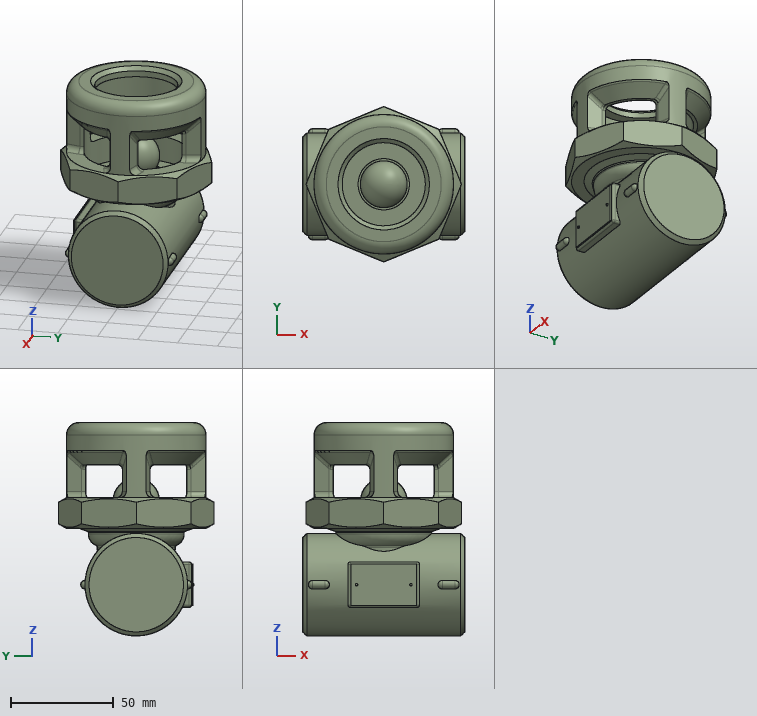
import cadquery as cq
import math

barrel_length = 79.0
barrel_radius = 25.0
barrel_chamfer = 2.0

neck_radius = 19.0
neck_round = 1.0
collar_radius = 46.73 / 2
collar_round = 6.0
collar_top = 25.4
collar_edge_height = 0.7
collar_bottom = collar_top - collar_edge_height - collar_round

stem_radius = 12.5
stem_top = 32.4
ball_radius = 11.45
ball_center = 40.5
step_radius = 21.41 / 2
step_height = 0.9
step_top = stem_top + step_height
seat_radius = 7.0
seat_bottom = ball_center - math.sqrt(ball_radius**2 - seat_radius**2)

plate_width = 34.8
plate_height = 22.2
plate_face = 26.9
plate_round = 1.2
panel_width = 31.8
panel_height = 20.2
panel_thickness = 0.7
panel_face = plate_face + panel_thickness
rivet_radius = 0.6
rivet_offset = 13.25

lug_radius = 2.05
lug_length = 10.3
lug_offset = 31.6

octagon_across_flats = 70.0
octagon_bottom = 27.4
octagon_thickness = 15.0
octagon_top = octagon_bottom + octagon_thickness
octagon_face_radius = 34.0
octagon_chamfer_angle = 30.0
under_cone_radius = 55.73 / 2
under_cone_tip_radius = 23.9
under_cone_tip = 26.0

cage_radius = 34.0
cage_top = 79.0
cage_round = 6.0
cavity_radius = 25.5
cavity_floor = 29.5
cavity_roof = 74.0
bore_radius = 40.5 / 2
bore_chamfer = 2.0

window_roof_inner = 58.4
window_floor_round = 3.0
window_corner_round = 2.2
window_lip_round = 2.0
window_lip_angle = 75.0
post_inner_half_width = 6.8
post_outer_half_width = 4.85
post_taper_start = 26.6
window_roof_radius = math.hypot(post_taper_start, post_inner_half_width)
post_taper_end = math.sqrt(cage_radius**2 - post_outer_half_width**2)

clearance = 5.0
window_overrun = 3.0
tolerance = 0.01


def disc(radius, bottom, top):
    return cq.Workplane("XY").workplane(offset=bottom).circle(radius).extrude(top - bottom)


def make_barrel():
    barrel = cq.Workplane("YZ").circle(barrel_radius).extrude(barrel_length)
    barrel = barrel.translate((-barrel_length / 2, 0, 0))
    return barrel.faces("<X or >X").chamfer(barrel_chamfer)


def make_collar():
    collar = disc(collar_radius, collar_bottom, collar_top).faces("<Z").edges().fillet(collar_round)
    collar = collar.union(disc(neck_radius, 0, collar_top))
    neck_joint = [
        edge
        for edge in collar.edges("%CIRCLE").vals()
        if abs(edge.radius() - neck_radius) < tolerance and edge.Center().z > tolerance
    ]
    return collar.newObject(neck_joint).fillet(neck_round)


def make_ball_stem():
    stem = (
        cq.Workplane("XZ")
        .lineTo(stem_radius, 0)
        .lineTo(stem_radius, stem_top)
        .lineTo(step_radius, stem_top)
        .lineTo(step_radius, step_top)
        .lineTo(seat_radius, seat_bottom)
        .lineTo(0, seat_bottom)
        .close()
        .revolve()
    )
    ball = cq.Workplane("XY").workplane(offset=ball_center).sphere(ball_radius)
    return stem.union(ball)


def make_name_plate():
    plate = cq.Workplane("XY").box(plate_width, plate_face, plate_height)
    plate = plate.translate((0, -plate_face / 2, 0))
    plate = plate.edges("|Y or <Y").fillet(plate_round)
    panel = cq.Workplane("XY").box(panel_width, panel_face, panel_height)
    plate = plate.union(panel.translate((0, -panel_face / 2, 0)))
    for side in (-1, 1):
        rivet = cq.Workplane("XY").sphere(rivet_radius)
        plate = plate.union(rivet.translate((side * rivet_offset, -panel_face, 0)))
    return plate


def make_lug(x_side, y_side):
    straight_length = lug_length - 2 * lug_radius
    lug = cq.Workplane("YZ").circle(lug_radius).extrude(straight_length / 2, both=True)
    for end in (-1, 1):
        cap = cq.Workplane("XY").sphere(lug_radius)
        lug = lug.union(cap.translate((end * straight_length / 2, 0, 0)))
    return lug.translate((x_side * lug_offset, y_side * barrel_radius, 0))


def make_body():
    body = make_barrel().union(make_collar()).union(make_ball_stem()).union(make_name_plate())
    for x_side in (-1, 1):
        for y_side in (-1, 1):
            body = body.union(make_lug(x_side, y_side))
    return body


def make_flange():
    corner_radius = octagon_across_flats / 2 / math.cos(math.pi / 8)
    octagon = cq.Workplane("XY").workplane(offset=octagon_bottom)
    octagon = octagon.polygon(8, 2 * corner_radius).extrude(octagon_thickness)
    cone_reach = corner_radius + clearance
    cone_drop = (cone_reach - octagon_face_radius) * math.tan(math.radians(octagon_chamfer_angle))
    bevel = (
        cq.Workplane("XZ")
        .moveTo(0, octagon_bottom)
        .lineTo(octagon_face_radius, octagon_bottom)
        .lineTo(cone_reach, octagon_bottom + cone_drop)
        .lineTo(cone_reach, octagon_top - cone_drop)
        .lineTo(octagon_face_radius, octagon_top)
        .lineTo(0, octagon_top)
        .close()
        .revolve()
    )
    underside = (
        cq.Workplane("XZ")
        .moveTo(0, octagon_bottom)
        .lineTo(under_cone_radius, octagon_bottom)
        .lineTo(under_cone_tip_radius, under_cone_tip)
        .lineTo(collar_radius, collar_top)
        .lineTo(0, collar_top)
        .close()
        .revolve()
    )
    return octagon.intersect(bevel).union(underside)


def make_posts():
    """Cross of two bars whose arms narrow toward the outside; the windows lie between the arms."""
    reach = cage_radius + 2 * clearance
    taper = (post_inner_half_width - post_outer_half_width) / (post_taper_end - post_taper_start)
    reach_half_width = post_inner_half_width - taper * (reach - post_taper_start)
    arm = (
        cq.Workplane("XY")
        .workplane(offset=octagon_top - clearance)
        .moveTo(0, -post_inner_half_width)
        .lineTo(post_taper_start, -post_inner_half_width)
        .lineTo(reach, -reach_half_width)
        .lineTo(reach, reach_half_width)
        .lineTo(post_taper_start, post_inner_half_width)
        .lineTo(0, post_inner_half_width)
        .close()
        .extrude(cage_top - octagon_top + clearance)
    )
    posts = arm
    for quarter in range(1, 4):
        posts = posts.union(arm.rotate((0, 0, 0), (0, 0, 1), 90 * quarter))
    return posts


def make_window():
    """Cutting shape of the window in the +X +Y quadrant."""
    inner = cavity_radius - clearance
    lip_angle = math.radians(window_lip_angle)
    roof_angle = math.radians(45)
    mid_angle = (lip_angle + roof_angle) / 2
    lip_center_x = cage_radius - window_lip_round * math.sin(lip_angle)
    roof_end = lip_center_x + window_lip_round * math.sin(roof_angle)
    roof_end_z = window_roof_inner + roof_end - window_roof_radius
    lip_center_z = roof_end_z + window_lip_round * math.cos(roof_angle)

    def lip_point(angle):
        x = lip_center_x + window_lip_round * math.sin(angle)
        return x, lip_center_z - window_lip_round * math.cos(angle)

    outer = cage_radius + window_overrun
    lip_end_z = lip_point(lip_angle)[1] + window_overrun * math.tan(lip_angle)
    ring = (
        cq.Workplane("XZ")
        .moveTo(inner, octagon_top)
        .lineTo(outer, octagon_top)
        .lineTo(outer, lip_end_z)
        .lineTo(*lip_point(lip_angle))
        .threePointArc(lip_point(mid_angle), lip_point(roof_angle))
        .lineTo(window_roof_radius, window_roof_inner)
        .lineTo(inner, window_roof_inner)
        .close()
        .revolve()
    )
    quadrant = cq.Workplane("XY").box(outer, outer, 2 * cage_top, centered=(False, False, True))
    return round_window(ring.intersect(quadrant).cut(make_posts()))


def round_window(window):
    """Rounds the corners where the posts meet the window floor and the window roof."""

    def along_post(edge):
        center = edge.Center()
        return edge.geomType() != "CIRCLE" and min(center.x, center.y) < post_inner_half_width + tolerance

    def inside_reach(edge):
        center = edge.Center()
        return math.hypot(center.x, center.y) < cage_radius + window_overrun - tolerance

    post_edges = [edge for edge in window.edges().vals() if along_post(edge)]
    floor_edges = [edge for edge in post_edges if abs(edge.Center().z - octagon_top) < tolerance]
    window = window.newObject(floor_edges).fillet(window_floor_round)
    post_edges = [edge for edge in window.edges().vals() if along_post(edge) and inside_reach(edge)]
    roof_edges = [edge for edge in post_edges if edge.Center().z > window_roof_inner - tolerance]
    return window.newObject(roof_edges).fillet(window_corner_round)


def make_cage():
    cage = disc(cage_radius, octagon_top - clearance, cage_top).faces(">Z").edges().fillet(cage_round)
    cage = cage.union(make_flange())
    cage = cage.cut(disc(cavity_radius, cavity_floor, cavity_roof))
    cage = cage.cut(disc(bore_radius, cavity_roof - clearance, cage_top))
    bore_edge = cage.faces(">Z").edges(cq.selectors.RadiusNthSelector(0))
    cage = bore_edge.chamfer(bore_chamfer)
    window = make_window()
    for quarter in range(4):
        cage = cage.cut(window.rotate((0, 0, 0), (0, 0, 1), 90 * quarter))
    return cage.cut(disc(stem_radius, collar_top - clearance, cavity_floor + clearance))


body = make_body()
cage = make_cage()
result = cq.Compound.makeCompound([body.val(), cage.val()])